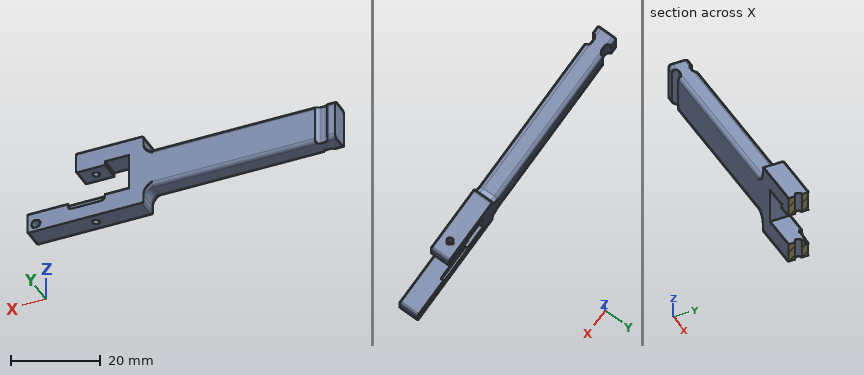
import cadquery as cq
import math

length = 75.5
thickness = 5.0
head_height = 18.0
bar_height = 9.8
bar_edge_radius = 1.0

head_start = 46.95
jaw_end = 63.6
throat_start = 50.6
lip_start = 56.4
lip_drop = 1.0
throat_bottom = -4.0
corner_radius = 0.5
neck_radius = 2.05

groove_start = 1.9
groove_width = 3.0
groove_depth = 1.05
groove_radius = 1.0

cross_hole_diameter = 2.05
cross_hole_inset = 2.1
cross_hole_z = -7.0
pin_hole_diameter = 1.6
pin_hole_x = 59.7

notch_start = 56.5
notch_end = 65.5
notch_depth = 0.75
notch_height = 1.5
notch_radius = 1.05

half_thickness = thickness / 2
half_head = head_height / 2
half_bar = bar_height / 2


def box(x0, x1, y0, y1, z0, z1):
    """Box between two opposite corners."""
    return cq.Workplane("XY").box(x1 - x0, y1 - y0, z1 - z0, centered=False).translate((x0, y0, z0))


def plate(outline):
    """Extrude an XZ outline over the full thickness."""
    return outline.extrude(half_thickness, both=True)


def make_head():
    outline = (
        cq.Workplane("XZ")
        .moveTo(head_start, -half_head)
        .lineTo(length, -half_head)
        .lineTo(length, throat_bottom)
        .lineTo(throat_start, throat_bottom)
        .lineTo(throat_start, half_bar)
        .lineTo(lip_start, half_bar)
        .lineTo(lip_start, half_bar - lip_drop)
        .lineTo(jaw_end, half_bar - lip_drop)
        .lineTo(jaw_end, half_head)
        .lineTo(head_start, half_head)
        .close()
    )
    head = plate(outline)
    for outer_side in (">Z", "<Z"):
        head = head.faces(outer_side).edges("|Y").fillet(corner_radius)
    arm_tip = cq.selectors.NearestToPointSelector((length, 0, throat_bottom))
    jaw_tip = cq.selectors.NearestToPointSelector((jaw_end, 0, half_bar - lip_drop))
    for tip in (arm_tip, jaw_tip):
        head = head.edges("|Y").edges(tip).fillet(corner_radius)
    return head


def flare_profile(base, height):
    """XZ outline from Z = base up to the bar surface at Z = height, flaring up into the head."""
    flare_start = head_start - neck_radius
    sag = neck_radius * (1 - math.sqrt(0.5))
    return (
        cq.Workplane("XZ")
        .moveTo(0, base)
        .lineTo(0, height)
        .lineTo(flare_start, height)
        .threePointArc((head_start - sag, height + sag), (head_start, height + neck_radius))
        .lineTo(head_start, base)
        .close()
    )


def make_bar_with_neck():
    """Rounded bar whose flare sweeps around each long edge and is cut flush with the wide faces."""
    core_y = half_thickness - bar_edge_radius
    core_z = half_bar - bar_edge_radius
    bar = box(0, head_start, -half_thickness, half_thickness, -core_z, core_z)
    upper_flare = flare_profile(0, half_bar).extrude(core_y, both=True)
    bar = bar.union(upper_flare).union(upper_flare.mirror("XY"))
    corner = flare_profile(0, bar_edge_radius).revolve(360, (0, 0, 0), (1, 0, 0))
    for side_y in (-1, 1):
        for side_z in (-1, 1):
            bar = bar.union(corner.translate((0, side_y * core_y, side_z * core_z)))
    return bar.intersect(box(0, head_start, -half_thickness, half_thickness, -half_head, half_head))


def make_groove(side):
    """Cutter for one grip groove with rounded floor corners; side is -1 or 1 along Y."""
    cutter = cq.Workplane("XY").box(groove_width, 2 * groove_depth, bar_height)
    cutter = cutter.edges("|Z").fillet(groove_radius)
    return cutter.translate((groove_start + groove_width / 2, side * half_thickness, 0))


part = make_bar_with_neck().union(make_head())
for side in (-1, 1):
    part = part.cut(make_groove(side))

cross_hole = plate(
    cq.Workplane("XZ")
    .center(length - cross_hole_inset, cross_hole_z)
    .circle(cross_hole_diameter / 2)
)
pin_hole = (
    cq.Workplane("XY").center(pin_hole_x, 0).circle(pin_hole_diameter / 2).extrude(half_head, both=True)
)
notch = box(
    notch_start, notch_end, half_thickness - notch_depth, half_thickness,
    throat_bottom - notch_height, throat_bottom,
).faces("<Z").edges("|Y").fillet(notch_radius)
result = part.cut(cross_hole).cut(pin_hole).cut(notch)